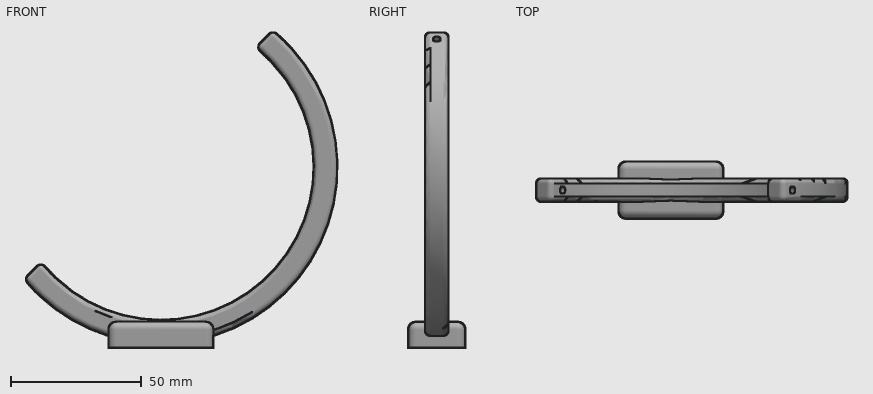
import cadquery as cq
import math

foot_length = 40.2
foot_depth = 22.0
foot_height = 10.0
foot_fillet = 3.0

ring_outer = 67.6
arm_width = 9.2
arm_depth = 9.0
arm_fillet = 2.0
ring_inner = ring_outer - arm_width
end_height = 6.8
ring_height = 69.2
opening_angle = 45

hole_diameter = 2.8
hole_offset = 1.0
hole_tilt = 10


def make_foot():
    block = cq.Workplane("XY").box(foot_length, foot_depth, foot_height, centered=(True, True, False))
    return block.edges("|Z or >Z").fillet(foot_fillet)


def make_arm():
    """Upward-opening arm centred on the origin, with rounded edges all over."""
    outer_x = math.sqrt(ring_outer**2 - end_height**2)
    inner_x = math.sqrt(ring_inner**2 - end_height**2)
    profile = (
        cq.Workplane("XZ")
        .moveTo(-outer_x, end_height)
        .threePointArc((0, -ring_outer), (outer_x, end_height))
        .lineTo(inner_x, end_height)
        .threePointArc((0, -ring_inner), (-inner_x, end_height))
        .close()
    )
    return profile.extrude(arm_depth / 2, both=True).edges().fillet(arm_fillet)


def make_hole(side):
    """Drill through the arm on one side (+1 or -1), rising slightly outwards."""
    tilt = math.radians(hole_tilt)
    axis = cq.Vector(side * math.cos(tilt), 0, math.sin(tilt))
    middle = cq.Vector(side * (ring_inner + ring_outer) / 2, 0, hole_offset)
    length = 2 * arm_width
    return cq.Solid.makeCylinder(hole_diameter / 2, length, middle - axis * (length / 2), axis)


arm = make_arm()
for side in (-1, 1):
    arm = arm.cut(make_hole(side))

arm = arm.rotate((0, 0, 0), (0, 1, 0), -opening_angle).translate((0, 0, ring_height))
result = make_foot().union(arm)